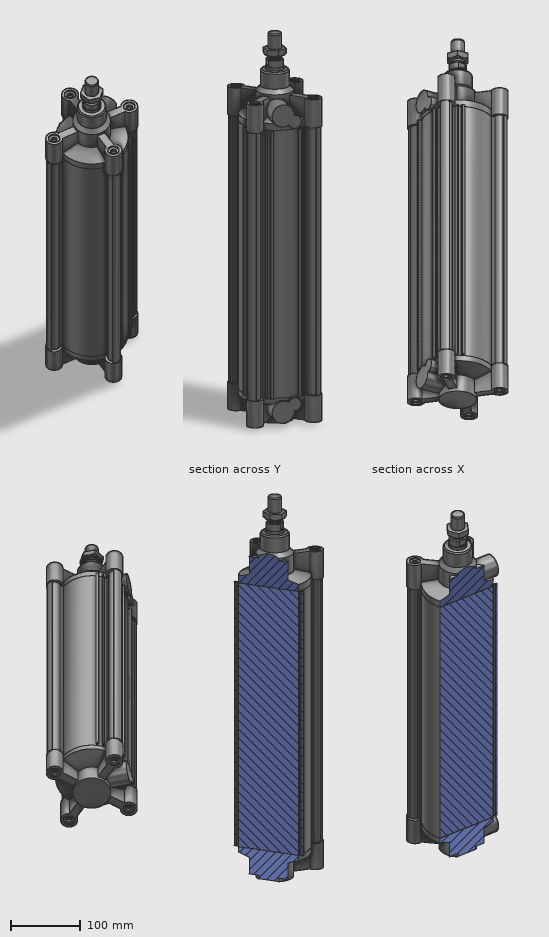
import cadquery as cq
import math

LENGTH = 583.0
BARREL_BOTTOM = 45.5
BARREL_TOP = 450.5
REAR_LUG_END = 5.0
FRONT_LUG_END = 493.0
REAR_DISC_EDGE = 37.0
FRONT_DISC_EDGE = 461.0
REAR_CONE_END = 26.0
FRONT_CONE_END = 469.5
NECK_CONE_START = 497.0
NECK_START = 503.0
NECK_END = 528.0
WIPER_END = 533.0

OUTER_SIZE = 113.0
LUG_RADIUS = 12.0
LUG_OFFSET = OUTER_SIZE / 2 - LUG_RADIUS
DISC_RADIUS = 52.5
HUB_RADIUS = 27.5
ARM_WIDTH = 12.0
NECK_RADIUS = 21.0
NECK_CHAMFER_WIDTH = 2.0
NECK_CHAMFER_HEIGHT = 2.5
WIPER_RADIUS = 13.5

RECESS_RADIUS = 8.0
RECESS_DEPTH = 2.5
SOCKET_RADIUS = 4.4
SOCKET_DEPTH = 7.0

PORT_RADIUS = 17.0
PORT_X = 5.0
PORT_AXIS_DEPTH = 20.0
VALVE_RADIUS = 10.0
VALVE_X = -12.0
VALVE_AXIS_DEPTH = 30.5

BARREL_RADIUS = 52.5
LOBE_RADIUS = 8.0
LOBE_CREST_RADIUS = 11.0
LOBE_CREST_INSET = 1.45
WEB_WIDTH = 13.0

RAIL_ROOT = 41.0
RIB_THICKNESS = 2.0
INNER_RIB_START = 19.0
INNER_RIB_REACH = 54.0
HOOK_LENGTH = 4.0
HOOK_THICKNESS = 3.5
OUTER_RIB_START = 27.5
OUTER_RIB_REACH = 50.0

ROD_DIAMETER = 25.0
ROD_RADIUS = ROD_DIAMETER / 2
ROD_SHOULDER = 543.5
WRENCH_FLATS_BOTTOM = 534.5
WRENCH_FLATS_WIDTH = 23.0
RELIEF_DIAMETER = 18.0
RELIEF_RADIUS = RELIEF_DIAMETER / 2
RELIEF_END = 545.0
THREAD_RADIUS = 10.0
THREAD_START = 547.0
TIP_CHAMFER_WIDTH = 1.0
TIP_CHAMFER_HEIGHT = 2.5

NUT_BOTTOM = 550.5
NUT_TOP = 559.5
NUT_ACROSS_FLATS = 30.0
NUT_CHAMFER_HEIGHT = 2.5

CORNERS = [(-1, -1), (-1, 1), (1, -1), (1, 1)]


def cylinder(radius, z_start, z_end, x=0, y=0):
    return cq.Workplane("XY", origin=(x, y, z_start)).circle(radius).extrude(z_end - z_start)


def box(x_start, x_end, y_start, y_end, z_start, z_end):
    size = (x_end - x_start, y_end - y_start, z_end - z_start)
    return cq.Workplane("XY").box(*size, centered=False).translate((x_start, y_start, z_start))


def revolved(profile):
    """Solid of revolution about Z from (radius, z) points."""
    return cq.Workplane("XZ").polyline(profile).close().revolve(360, (0, 0, 0), (0, 1, 0))


def diagonal_bars(width, reach, z_start, z_end):
    """Two crossed bars along the diagonals, ending at the given radius."""
    bar = box(-reach, reach, -width / 2, width / 2, z_start, z_end)
    return bar.rotate((0, 0, 0), (0, 0, 1), 45).union(bar.rotate((0, 0, 0), (0, 0, 1), -45))


def boss_to_rear_side(radius, x, z):
    """Cylinder along Y from the cap axis to the +Y limit of the part."""
    return cq.Workplane("XZ", origin=(x, 0, z)).circle(radius).extrude(-OUTER_SIZE / 2)


def end_cap(core, joint_z, lug_end):
    """Turned core with corner lugs on diagonal arms, screw recesses and port bosses."""
    inward = math.copysign(1, joint_z - lug_end)
    low, high = sorted((joint_z, lug_end))
    cap = core.union(diagonal_bars(ARM_WIDTH, LUG_OFFSET * math.sqrt(2), low, high))
    cap = cap.union(boss_to_rear_side(PORT_RADIUS, PORT_X, lug_end + inward * PORT_AXIS_DEPTH))
    cap = cap.union(boss_to_rear_side(VALVE_RADIUS, VALVE_X, lug_end + inward * VALVE_AXIS_DEPTH))
    for x_sign, y_sign in CORNERS:
        x = x_sign * LUG_OFFSET
        y = y_sign * LUG_OFFSET
        cap = cap.union(cylinder(LUG_RADIUS, low, high, x, y))
        cap = cap.cut(cylinder(RECESS_RADIUS, lug_end, lug_end + inward * RECESS_DEPTH, x, y))
        cap = cap.cut(cylinder(SOCKET_RADIUS, lug_end, lug_end + inward * SOCKET_DEPTH, x, y))
    return cap


def make_rear_cap():
    core = revolved([
        (0, 0),
        (HUB_RADIUS, 0),
        (HUB_RADIUS, REAR_CONE_END),
        (DISC_RADIUS, REAR_DISC_EDGE),
        (DISC_RADIUS, BARREL_BOTTOM),
        (0, BARREL_BOTTOM),
    ])
    return end_cap(core, BARREL_BOTTOM, REAR_LUG_END)


def make_front_cap():
    core = revolved([
        (0, BARREL_TOP),
        (DISC_RADIUS, BARREL_TOP),
        (DISC_RADIUS, FRONT_DISC_EDGE),
        (HUB_RADIUS, FRONT_CONE_END),
        (HUB_RADIUS, NECK_CONE_START),
        (NECK_RADIUS, NECK_START),
        (NECK_RADIUS, NECK_END - NECK_CHAMFER_HEIGHT),
        (NECK_RADIUS - NECK_CHAMFER_WIDTH, NECK_END),
        (WIPER_RADIUS, NECK_END),
        (WIPER_RADIUS, WIPER_END),
        (0, WIPER_END),
    ])
    cap = end_cap(core, BARREL_TOP, FRONT_LUG_END)
    return cap.cut(cylinder(ROD_RADIUS, BARREL_TOP, WIPER_END))


def sensor_rail():
    """Hooked rib and plain rib that form a slot on the -X side, next to the -X, +Y lobe."""
    inner_rib = box(
        -INNER_RIB_REACH, -RAIL_ROOT,
        INNER_RIB_START, INNER_RIB_START + RIB_THICKNESS,
        BARREL_BOTTOM, BARREL_TOP,
    )
    hook = box(
        -INNER_RIB_REACH, HOOK_THICKNESS - INNER_RIB_REACH,
        INNER_RIB_START, INNER_RIB_START + HOOK_LENGTH,
        BARREL_BOTTOM, BARREL_TOP,
    )
    outer_rib = box(
        -OUTER_RIB_REACH, -RAIL_ROOT,
        OUTER_RIB_START, OUTER_RIB_START + RIB_THICKNESS,
        BARREL_BOTTOM, BARREL_TOP,
    )
    return [inner_rib.union(hook), outer_rib]


def corner_lobe():
    """Round rail at the -X, -Y corner with a larger, stepped crest on its outward quarter."""
    lobe = cylinder(LOBE_RADIUS, BARREL_BOTTOM, BARREL_TOP)
    crest = cylinder(LOBE_CREST_RADIUS, BARREL_BOTTOM, BARREL_TOP).intersect(
        box(
            -LOBE_CREST_RADIUS, -LOBE_CREST_INSET,
            -LOBE_CREST_RADIUS, -LOBE_CREST_INSET,
            BARREL_BOTTOM, BARREL_TOP,
        )
    )
    return lobe.union(crest).translate((-LUG_OFFSET, -LUG_OFFSET, 0))


def make_barrel():
    barrel = cylinder(BARREL_RADIUS, BARREL_BOTTOM, BARREL_TOP)
    web_reach = LUG_OFFSET * math.sqrt(2)
    barrel = barrel.union(diagonal_bars(WEB_WIDTH, web_reach, BARREL_BOTTOM, BARREL_TOP))
    lobe = corner_lobe()
    for quarter_turn in range(0, 360, 90):
        barrel = barrel.union(lobe.rotate((0, 0, 0), (0, 0, 1), quarter_turn))
    for rib in sensor_rail():
        across_diagonal = rib.mirror("XZ").rotate((0, 0, 0), (0, 0, 1), -90)
        for copy in (rib, across_diagonal):
            barrel = barrel.union(copy).union(copy.mirror("YZ"))
    return barrel


def make_piston_rod():
    rod = revolved([
        (0, BARREL_TOP),
        (ROD_RADIUS, BARREL_TOP),
        (ROD_RADIUS, ROD_SHOULDER),
        (RELIEF_RADIUS, ROD_SHOULDER),
        (RELIEF_RADIUS, RELIEF_END),
        (THREAD_RADIUS, THREAD_START),
        (THREAD_RADIUS, LENGTH - TIP_CHAMFER_HEIGHT),
        (THREAD_RADIUS - TIP_CHAMFER_WIDTH, LENGTH),
        (0, LENGTH),
    ])
    for side in (-1, 1):
        inner, outer = sorted((side * WRENCH_FLATS_WIDTH / 2, side * ROD_RADIUS))
        rod = rod.cut(
            box(inner, outer, -ROD_RADIUS, ROD_RADIUS, WRENCH_FLATS_BOTTOM, ROD_SHOULDER)
        )
    return rod


def make_nut():
    """Hexagon with corners on the Y axis and a conical chamfer on its underside."""
    corner_radius = NUT_ACROSS_FLATS / math.sqrt(3)
    hexagon = (
        cq.Workplane("XY", origin=(0, 0, NUT_BOTTOM))
        .polygon(6, 2 * corner_radius)
        .extrude(NUT_TOP - NUT_BOTTOM)
        .rotate((0, 0, 0), (0, 0, 1), 90)
    )
    envelope = revolved([
        (0, NUT_BOTTOM),
        (NUT_ACROSS_FLATS / 2, NUT_BOTTOM),
        (corner_radius, NUT_BOTTOM + NUT_CHAMFER_HEIGHT),
        (corner_radius, NUT_TOP),
        (0, NUT_TOP),
    ])
    return hexagon.intersect(envelope).cut(cylinder(THREAD_RADIUS, NUT_BOTTOM, NUT_TOP))


rear_cap = make_rear_cap()
barrel = make_barrel()
front_cap = make_front_cap()
piston_rod = make_piston_rod()
nut = make_nut()

result = cq.Compound.makeCompound(
    [rear_cap.val(), barrel.val(), front_cap.val(), piston_rod.val(), nut.val()]
)